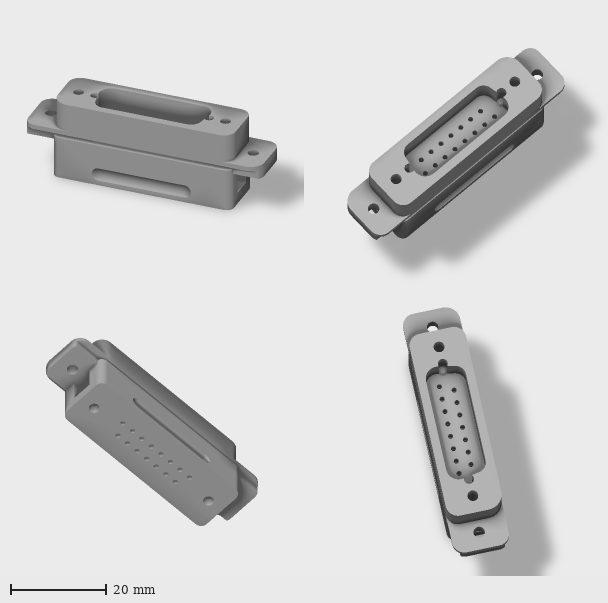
import cadquery as cq
import math

LENGTH = 53.2
WIDTH = 12.1
HEIGHT = 17.75
BODY_LENGTH = 40.55

TONGUE_BOTTOM = 8.3
BASE_TOP = 9.45
PLATE_BOTTOM = 10.45
PLATE_TOP = 11.45
TONGUE_WIDTH = 9.45

PLATE_CORNERS = (2.45, 3.15, 2.6, 2.6)
SHELL_CORNERS = (3.4, 2.6, 2.6, 2.6)
BASE_CORNER = 1.65

CAVITY_FLOOR = 12.2
CAVITY_WIDTH = 8.5
CAVITY_MID_LENGTH = 24.6
CAVITY_SIDE_ANGLE = 10.0
CAVITY_WIDE_CORNER = 2.65
CAVITY_NARROW_CORNER = 2.35

PIN_PITCH = 2.75
PIN_ROW_OFFSET = 1.45
PIN_DIAMETER = 1.05
PIN_ROWS = ((8, PIN_ROW_OFFSET), (7, -PIN_ROW_OFFSET))

EAR_HOLE_X = 22.9
EAR_HOLE_DIAMETER = 2.4
BODY_HOLE_X = 16.6
BODY_HOLE_DIAMETER = 2.3

POST_X = 12.9
POST_DIAMETER = 2.35
KEYWAY_DIAMETER = 2.1
TIP_TOP_DIAMETER = 1.1
TIP_HEIGHT = 0.55
POCKET_FLOOR = 2.55
POCKET_WIDTH = 4.7

GAP_LENGTH = 23.5
GAP_TOP = 9.8

GROOVE_DIAMETER = 2.9
GROOVE_LENGTH = 22.35
GROOVE_Z = 2.55


def rounded_block(length, width, bottom, top, corners):
    """Upright block centred on the Z axis with its own radius on each vertical edge."""
    block = cq.Workplane("XY").box(length, width, top - bottom, centered=(True, True, False))
    block = block.translate((0, 0, bottom))
    for selector, radius in zip(("<X and <Y", ">X and <Y", ">X and >Y", "<X and >Y"), corners):
        block = block.edges("|Z").edges(selector).fillet(radius)
    return block


def cylinders(points, diameter, bottom, top):
    """Upright cylinders at the given points."""
    return (
        cq.Workplane("XY", origin=(0, 0, bottom))
        .pushPoints(points)
        .circle(diameter / 2)
        .extrude(top - bottom)
    )


def mirrored_points(x):
    return [(-x, 0), (x, 0)]


def make_flange():
    """Plate with a narrower tongue beneath it."""
    flange = rounded_block(LENGTH, WIDTH, TONGUE_BOTTOM, PLATE_TOP, PLATE_CORNERS)
    rim = (
        cq.Workplane("XY", origin=(0, 0, TONGUE_BOTTOM))
        .rect(LENGTH, WIDTH)
        .rect(LENGTH, TONGUE_WIDTH)
        .extrude(PLATE_BOTTOM - TONGUE_BOTTOM)
    )
    return flange.cut(rim)


def make_cavity():
    """D-shaped recess, wider on the +Y side."""
    half_width = CAVITY_WIDTH / 2
    spread = half_width * math.tan(math.radians(CAVITY_SIDE_ANGLE))
    wide = CAVITY_MID_LENGTH / 2 + spread
    narrow = CAVITY_MID_LENGTH / 2 - spread
    return (
        cq.Workplane("XY", origin=(0, 0, CAVITY_FLOOR))
        .polyline([(-wide, half_width), (wide, half_width), (narrow, -half_width), (-narrow, -half_width)])
        .close()
        .extrude(HEIGHT - CAVITY_FLOOR)
        .edges("|Z and >Y")
        .fillet(CAVITY_WIDE_CORNER)
        .edges("|Z and <Y")
        .fillet(CAVITY_NARROW_CORNER)
    )


def make_end_pockets():
    """Round-ended pockets that enter from both ends and wrap around the posts."""
    depth = TONGUE_BOTTOM - POCKET_FLOOR
    run = BODY_LENGTH / 2 - POST_X
    pockets = cylinders(mirrored_points(POST_X), POCKET_WIDTH, POCKET_FLOOR, TONGUE_BOTTOM)
    for side in (-1, 1):
        mouth = cq.Workplane("XY").box(run, POCKET_WIDTH, depth, centered=(True, True, False))
        pockets = pockets.union(mouth.translate((side * (POST_X + run / 2), 0, POCKET_FLOOR)))
    return pockets.cut(cylinders(mirrored_points(POST_X), POST_DIAMETER, POCKET_FLOOR, TONGUE_BOTTOM))


def make_post_tip(x):
    """Tapered tip standing on the cavity floor."""
    base_point = cq.Vector(x, 0, CAVITY_FLOOR)
    return cq.Solid.makeCone(KEYWAY_DIAMETER / 2, TIP_TOP_DIAMETER / 2, TIP_HEIGHT, base_point)


def make_pin_holes():
    points = [
        ((index - (count - 1) / 2) * PIN_PITCH, y)
        for count, y in PIN_ROWS
        for index in range(count)
    ]
    return cylinders(points, PIN_DIAMETER, 0, HEIGHT)


def make_groove(y):
    """Horizontal rod with ball ends, sunk to its axis in a long side."""
    radius = GROOVE_DIAMETER / 2
    straight = GROOVE_LENGTH - GROOVE_DIAMETER
    groove = cq.Workplane("YZ").circle(radius).extrude(straight / 2, both=True)
    for side in (-1, 1):
        groove = groove.union(cq.Workplane("XY").sphere(radius).translate((side * straight / 2, 0, 0)))
    return groove.translate((0, y, GROOVE_Z))


base = rounded_block(BODY_LENGTH, WIDTH, 0, BASE_TOP, (BASE_CORNER,) * 4)
shell = rounded_block(BODY_LENGTH, WIDTH, PLATE_BOTTOM, HEIGHT, SHELL_CORNERS)
result = base.union(make_flange()).union(shell)

result = result.cut(make_cavity())
result = result.cut(cylinders(mirrored_points(POST_X), KEYWAY_DIAMETER, CAVITY_FLOOR, HEIGHT))
for post_x in (-POST_X, POST_X):
    result = result.union(cq.Workplane(make_post_tip(post_x)))

result = result.cut(make_end_pockets())
gap_height = GAP_TOP - BASE_TOP
gap = cq.Workplane("XY").box(GAP_LENGTH, WIDTH, gap_height, centered=(True, True, False))
result = result.cut(gap.translate((0, 0, BASE_TOP)))

result = result.cut(make_pin_holes())
result = result.cut(cylinders(mirrored_points(EAR_HOLE_X), EAR_HOLE_DIAMETER, 0, HEIGHT))
result = result.cut(cylinders(mirrored_points(BODY_HOLE_X), BODY_HOLE_DIAMETER, 0, HEIGHT))

for groove_y in (-WIDTH / 2, WIDTH / 2):
    result = result.cut(make_groove(groove_y))